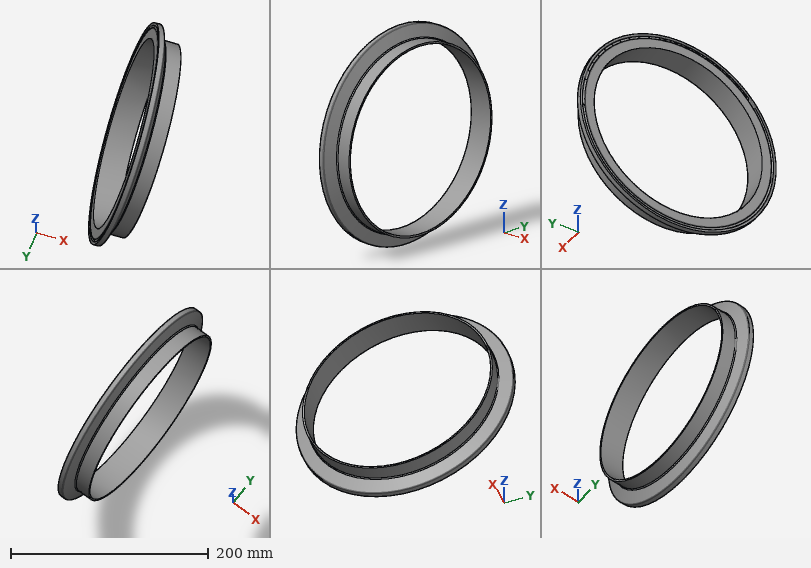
import cadquery as cq
import math

length = 28.0
flange_diameter = 233.5
tube_diameter = 204.0
bore_diameter = 200.0

rim_corner = 5.8
cone_angle = 20.0
rim_fillet = 1.0
neck_fillet = 1.5

groove_diameter = 224.9
groove_width = 2.8
groove_depth = 1.2
groove_lip_fillet = 0.7

flange_radius = flange_diameter / 2
tube_radius = tube_diameter / 2
bore_radius = bore_diameter / 2
groove_radius = groove_diameter / 2
neck_corner = rim_corner + (flange_radius - tube_radius) * math.tan(math.radians(cone_angle))


def circle_edge(x, radius):
    """Select the full circular edge at the given X and radius."""
    margin = 0.02
    reach = radius + margin
    return cq.selectors.BoxSelector(
        (x - margin, -reach, -reach), (x + margin, reach, reach), boundingbox=True
    ) - cq.selectors.BoxSelector(
        (x - margin, margin - radius, margin - radius),
        (x + margin, radius - margin, radius - margin),
        boundingbox=True,
    )


def make_body():
    """Revolve the flange, cone and tube, and round the two ends of the cone."""
    profile = (
        cq.Workplane("XY")
        .moveTo(0, bore_radius)
        .lineTo(0, flange_radius)
        .lineTo(rim_corner, flange_radius)
        .lineTo(neck_corner, tube_radius)
        .lineTo(length, tube_radius)
        .lineTo(length, bore_radius)
        .close()
    )
    body = profile.revolve(360, (0, 0, 0), (1, 0, 0))
    body = body.edges(circle_edge(rim_corner, flange_radius)).fillet(rim_fillet)
    return body.edges(circle_edge(neck_corner, tube_radius)).fillet(neck_fillet)


def cut_groove(body):
    """Cut the arc-section gasket groove and round both of its lips."""
    inner_lip = groove_radius - groove_width / 2
    outer_lip = groove_radius + groove_width / 2
    groove = (
        cq.Workplane("XY")
        .moveTo(0, inner_lip)
        .threePointArc((groove_depth, groove_radius), (0, outer_lip))
        .close()
        .revolve(360, (0, 0, 0), (1, 0, 0))
    )
    body = body.cut(groove)
    for lip_radius in (inner_lip, outer_lip):
        body = body.edges(circle_edge(0, lip_radius)).fillet(groove_lip_fillet)
    return body


result = cut_groove(make_body())